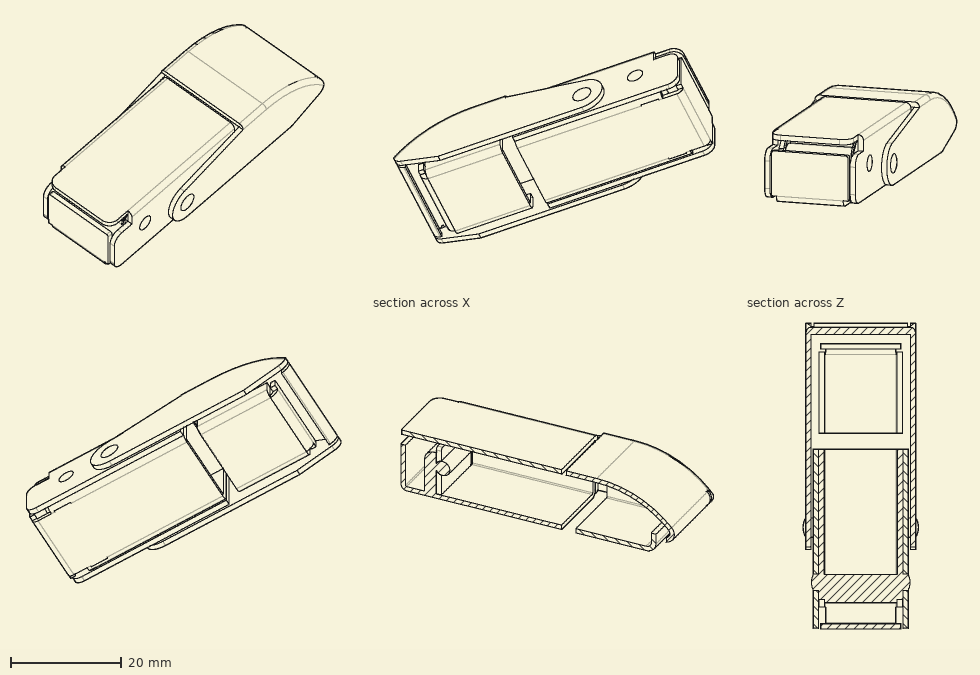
import cadquery as cq
import math


sheet = 1.0
corner_radius = 2.0
cheek_bottom = 0.5
top_height = 12.6
ceiling = top_height - sheet

lever_half = 10.0
lever_inner = lever_half - sheet
lever_end_radius = 4.0
pivot_y = 18.4
pivot_z = cheek_bottom + lever_end_radius
band_front = 33.5
arch_start = 39.8
arch_radius = 21.1
arch_center_z = top_height - arch_radius
envelope_angle = math.radians(85)
lever_round = 0.95
lever_back = 55.5
nose_radius = 2.0
nose_slope = math.radians(18)
nose_tab_half = 8.5

cover_half = 8.65
cover_inner = cover_half - sheet
cover_back = 32.65
cover_front = 0.1
notch_depth = 4.9
notch_bottom = 9.6

tray_half = 7.6
tray_inner = tray_half - sheet
end_wall_half = 7.25
end_fold_depth = 4.0
bend_radius = 1.2
end_fold_half = tray_half - bend_radius
base_wall_top = 9.6
base_wall_corner = 0.4
base_flange_front = 5.35
base_flange_top = 11.4
base_flange_slope = 2.5
stop_half = 6.0
stop_front = 7.2
bar_front = 4.8
bar_top = 9.6
ear_inner = 6.25
ear_radius = 3.0
stop_top = 10.7
stop_corner = 0.55
catch_front = 35.5
catch_back = 51.8
catch_bend_radius = 2.0
catch_flange_inset = 1.5
catch_wall_top = 4.0

pivot_radius = 1.8
pivot_head = 0.5
rivet_radius = 1.5
rivet_head = 0.35
rivet_y = 8.5
rivet_z = 6.6


def box(x0, x1, y0, y1, z0, z1):
    return cq.Workplane("XY").box(x1 - x0, y1 - y0, z1 - z0, centered=False).translate((x0, y0, z0))


def side_prism(outline, half_width):
    """Extrude a closed (Y, Z) outline evenly to both sides of X = 0."""
    return outline.extrude(half_width, both=True)


def both_sides(body):
    return body.union(body.mirror("YZ"))


def dome_middle(radius, head):
    """Point halfway round the dome's section, from its crown to its rim."""
    sphere = (radius**2 + head**2) / (2 * head)
    angle = math.asin(radius / sphere) / 2
    return head - sphere * (1 - math.cos(angle)), sphere * math.sin(angle)


def stud(y, z, radius, x_start, x_face, head):
    """Round stud along +X with a domed head standing on the plane x_face."""
    shank = cq.Workplane("YZ", origin=(x_start, y, z)).circle(radius).extrude(x_face - x_start)
    dome = (
        cq.Workplane("XY", origin=(x_face, y, z))
        .lineTo(head, 0)
        .threePointArc(dome_middle(radius, head), (0, radius))
        .close()
        .revolve(360, (0, 0, 0), (1, 0, 0))
    )
    return shank.union(dome)



nose_y = lever_back - nose_radius
nose_z = arch_center_z + math.sqrt((arch_radius - nose_radius) ** 2 - (nose_y - arch_start) ** 2)
arch_end_angle = math.atan2(nose_y - arch_start, nose_z - arch_center_z)


def arch_point(radius, angle):
    return arch_start + radius * math.sin(angle), arch_center_z + radius * math.cos(angle)


def nose_point(radius, angle):
    """Point on the nose round; the angle runs from +Y toward -Z."""
    return nose_y + radius * math.cos(angle), nose_z - radius * math.sin(angle)


nose_end_angle = math.pi / 2 - nose_slope
nose_end = nose_point(nose_radius, nose_end_angle)
belly_y = nose_end[0] - (nose_end[1] - cheek_bottom) / math.tan(nose_slope)


def lever_outline():
    """Side outline: flat top, arched back, nose round, sloped belly, round pivot end, sloped front."""
    dy = band_front - pivot_y
    dz = ceiling - pivot_z
    tangent_angle = math.atan2(dz, dy) + math.acos(lever_end_radius / math.hypot(dy, dz))
    tangent = (
        pivot_y + lever_end_radius * math.cos(tangent_angle),
        pivot_z + lever_end_radius * math.sin(tangent_angle),
    )
    return (
        cq.Workplane("YZ")
        .moveTo(band_front, ceiling)
        .lineTo(band_front, top_height)
        .lineTo(arch_start, top_height)
        .threePointArc(arch_point(arch_radius, arch_end_angle / 2), arch_point(arch_radius, arch_end_angle))
        .threePointArc(nose_point(nose_radius, 0), nose_end)
        .lineTo(belly_y, cheek_bottom)
        .lineTo(pivot_y, cheek_bottom)
        .threePointArc((pivot_y - lever_end_radius, pivot_z), tangent)
        .close()
    )


def lever_cavity():
    """Space between the cheeks, below the band and inside the nose."""
    inner_nose = nose_radius - sheet
    inner_arch = arch_radius - sheet
    outline = (
        cq.Workplane("YZ")
        .moveTo(0, 0)
        .lineTo(0, ceiling)
        .lineTo(arch_start, ceiling)
        .threePointArc(arch_point(inner_arch, arch_end_angle / 2), arch_point(inner_arch, arch_end_angle))
        .threePointArc(nose_point(inner_nose, 0), nose_point(inner_nose, nose_end_angle))
        .lineTo(nose_end[0] - math.sin(nose_slope) * sheet, 0)
        .close()
    )
    return side_prism(outline, lever_inner)


def lever_envelope():
    """Block with rounded long top edges; the rounds follow the arch past the nose."""
    far_y, far_z = arch_point(arch_radius, envelope_angle)
    outline = (
        cq.Workplane("YZ")
        .lineTo(0, top_height)
        .lineTo(arch_start, top_height)
        .threePointArc(arch_point(arch_radius, envelope_angle / 2), (far_y, far_z))
        .lineTo(far_y, arch_center_z)
        .lineTo(0, arch_center_z)
        .close()
    )
    block = side_prism(outline, lever_half)
    return block.edges("(not |X) and (not |Z)").edges(">X or <X").edges("not <Z").fillet(lever_round)


def make_lever():
    body = side_prism(lever_outline(), lever_half).intersect(lever_envelope())
    body = body.cut(lever_cavity())
    arch_end_z = arch_point(arch_radius, arch_end_angle)[1]
    slit = box(nose_tab_half, lever_inner, nose_y, lever_back, 0, arch_end_z)
    body = body.cut(both_sides(slit))
    studs = both_sides(stud(pivot_y, pivot_z, pivot_radius, cover_inner, lever_half, pivot_head))
    return body.union(studs)




def cover_cheek():
    """Right-hand cheek below the notch level at the front, with two rounded front corners."""
    cheek = box(cover_inner, cover_half, cover_front, notch_depth, cheek_bottom, notch_bottom)
    return cheek.edges("|X and <Y").fillet(corner_radius)


def cover_tab():
    """Front end of the cover's top, set free by the notches and rounded at its corners."""
    tab = box(-cover_inner, cover_inner, cover_front, notch_depth, ceiling, top_height)
    return tab.edges("|Z and <Y").fillet(corner_radius)


def make_cover():
    body = box(-cover_half, cover_half, notch_depth, cover_back, cheek_bottom, top_height)
    body = body.edges("|Y and >Z").fillet(sheet)
    body = body.cut(box(-cover_inner, cover_inner, notch_depth, cover_back, cheek_bottom, ceiling))
    body = body.union(both_sides(cover_cheek())).union(cover_tab())
    for y, z, radius in ((pivot_y, pivot_z, pivot_radius), (rivet_y, rivet_z, rivet_radius)):
        hole = cq.Workplane("YZ", origin=(0, y, z)).circle(radius)
        body = body.cut(hole.extrude(cover_half, both=True))
    return body




def folded_end(wall_top, radius):
    """Narrow floor strip that folds up into a wider end wall at Y = 0."""
    outer = box(-end_wall_half, end_wall_half, 0, end_fold_depth, 0, wall_top)
    outer = outer.edges("|X and <Y and <Z").fillet(radius)
    inner = box(-end_wall_half, end_wall_half, sheet, end_fold_depth, sheet, wall_top)
    inner = inner.edges("|X and <Y and <Z").fillet(radius - sheet)
    relief = both_sides(box(end_fold_half, end_wall_half, 0, end_fold_depth, 0, radius))
    return outer.cut(inner).cut(relief)


def channel(y0, y1, flange_top):
    """Floor with a flange folded up along each side."""
    outer = box(-tray_half, tray_half, y0, y1, 0, flange_top).edges("|Y and <Z").fillet(bend_radius)
    inner = box(-tray_inner, tray_inner, y0, y1, sheet, flange_top)
    inner = inner.edges("|Y and <Z").fillet(bend_radius - sheet)
    return outer.cut(inner)


def base_sides():
    """Floor and flanges; each flange starts behind the end wall and its front corner is bevelled."""
    sides = channel(end_fold_depth, cover_back, base_flange_top)
    sides = sides.cut(box(-tray_half, tray_half, 0, base_flange_front, bend_radius, base_flange_top))
    return sides.edges("|X and >Z").edges("<Y").chamfer(base_flange_slope)


def cross_bar():
    """Rounded bar across the base, with a taller thin ear at each end."""
    bar = box(-tray_inner, tray_inner, bar_front, stop_front, 0, bar_top)
    bar = bar.edges("|X and <Y and >Z").fillet(corner_radius)
    ear = box(ear_inner, tray_inner, bar_front, stop_front + sheet, 0, stop_top)
    ear = ear.edges("|X and <Y and >Z").fillet(ear_radius)
    return bar.union(both_sides(ear))


def stop_plate():
    """Upright plate behind the cross bar."""
    plate = box(-stop_half, stop_half, stop_front, stop_front + sheet, 0, stop_top)
    return plate.edges("|Y and >Z").fillet(stop_corner)


def make_base():
    wall = folded_end(base_wall_top, bend_radius)
    wall = wall.edges("|Y and >Z").fillet(base_wall_corner)
    rivet = both_sides(stud(rivet_y, rivet_z, rivet_radius, 0, cover_half, rivet_head))
    return wall.union(base_sides()).union(cross_bar()).union(stop_plate()).union(rivet)


def make_catch():
    wall = folded_end(catch_wall_top, catch_bend_radius).mirror("XZ").translate((0, catch_back, 0))
    sides = channel(catch_front, catch_back - catch_flange_inset, catch_wall_top)
    return wall.union(sides)


lever = make_lever()
cover = make_cover()
base = make_base()
catch = make_catch()

result = cq.Compound.makeCompound([body.solids().val() for body in (lever, cover, base, catch)])